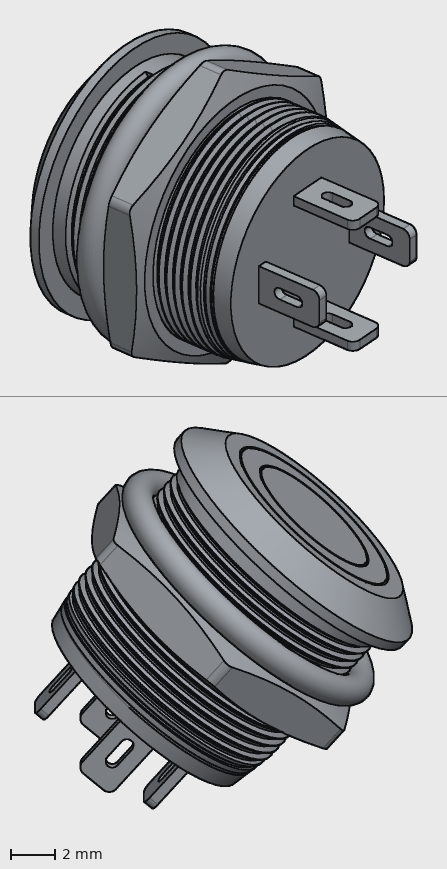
import cadquery as cq
import math


body_radius = 5.9
flange_radius = 6.9
front_face_radius = 5.3
cone_length = 1.2
flange_back = 1.7
body_end = 11.7
lead_in_angle = 10.0
lead_in_start = 9.55
body_end_radius = body_radius - (body_end - lead_in_start) * math.tan(math.radians(lead_in_angle))

ring_groove_outer_radii = (3.25, 4.45)
ring_groove_width = 0.1
ring_groove_depth = 0.1

flank_angle = 60.0
pitch = 0.45
thread_turns = 20
thread_start = 2.53
crest_flat = pitch / 8
root_flat = pitch / 4
flank_slope = math.tan(math.radians(flank_angle / 2))
thread_depth = (pitch - crest_flat - root_flat) / 2 / flank_slope
root_radius = body_radius - thread_depth
cutter_overrun = 0.03

tab_tip = 15.2
tab_width = 2.0
tab_thickness = 0.5
tab_offset = 3.25
tab_count = 4
tab_corner_radius = 0.4
tab_slot_length = 1.6
tab_slot_width = 0.6
tab_slot_center = 13.4

o_ring_section_radius = 0.7
o_ring_center = 4.55
o_ring_mean_radius = body_radius + o_ring_section_radius

nut_front = 5.3
nut_thickness = 2.2
nut_back = nut_front + nut_thickness
nut_sides = 6
nut_across_flats = 13.8
nut_corner_radius = 0.5
nut_face_radius = 6.5
nut_chamfer_angle = 20.0
nut_turn = 1.0

x_axis_start = (0, 0, 0)
x_axis_end = (1, 0, 0)


def revolve_about_x(points):
    """Spin an outline of (x, radius) points around the X axis."""
    return cq.Workplane("XY").polyline(points).close().revolve(360, x_axis_start, x_axis_end)


def make_body_blank():
    """Coned head, flange and barrel with a tapered lead-in at the back."""
    return revolve_about_x([
        (0, 0),
        (0, front_face_radius),
        (cone_length, flange_radius),
        (flange_back, flange_radius),
        (flange_back, body_radius),
        (lead_in_start, body_radius),
        (body_end, body_end_radius),
        (body_end, 0),
    ])


def make_ring_groove(outer_radius):
    """Narrow ring to be cut into the front face."""
    return (
        cq.Workplane("YZ")
        .circle(outer_radius)
        .circle(outer_radius - ring_groove_width)
        .extrude(ring_groove_depth)
    )


def make_thread_groove():
    """Right-handed helical groove, built up from single turns along Z and then laid along X from the top."""
    mouth_radius = body_radius + cutter_overrun
    half_root = root_flat / 2
    half_mouth = half_root + (mouth_radius - root_radius) * flank_slope
    section = [
        (root_radius, -half_root),
        (mouth_radius, -half_mouth),
        (mouth_radius, half_mouth),
        (root_radius, half_root),
    ]
    edges = [cq.Wire.makeHelix(pitch, pitch, radius, cq.Vector(0, 0, z)) for radius, z in section]
    one_turn = [
        cq.Face.makeRuledSurface(edge, next_edge)
        for edge, next_edge in zip(edges, edges[1:] + edges[:1])
    ]
    start_outline = cq.Wire.makePolygon([cq.Vector(radius, 0, z) for radius, z in section], close=True)
    start_face = cq.Face.makeFromWires(start_outline)
    end_face = start_face.translate(cq.Vector(0, 0, pitch * thread_turns))

    faces = [start_face, end_face]
    for turn in range(thread_turns):
        advance = cq.Vector(0, 0, pitch * turn)
        faces += [face.translate(advance) for face in one_turn]
    groove = cq.Solid.makeSolid(cq.Shell.makeShell(faces)).fix()
    return (
        cq.Workplane(groove)
        .rotate((0, 0, 0), (0, 1, 0), 90)
        .rotate(x_axis_start, x_axis_end, 180)
        .translate((thread_start, 0, 0))
    )


def make_tab():
    """Slotted solder tab above the axis, lying flat, with rounded tip corners."""
    tab_length = tab_tip - body_end
    return (
        cq.Workplane("XY")
        .box(tab_length, tab_width, tab_thickness, centered=(False, True, True))
        .edges("|Z and >X")
        .fillet(tab_corner_radius)
        .faces(">Z")
        .workplane(origin=(tab_slot_center - body_end, 0, 0))
        .slot2D(tab_slot_length, tab_slot_width)
        .cutThruAll()
        .translate((body_end, 0, tab_offset))
    )


def make_switch():
    """Threaded switch body with its front grooves and solder tabs."""
    switch = make_body_blank()
    for outer_radius in ring_groove_outer_radii:
        switch = switch.cut(make_ring_groove(outer_radius))
    for index in range(tab_count):
        angle = index * 360 / tab_count
        switch = switch.union(make_tab().rotate(x_axis_start, x_axis_end, angle))
    return switch.cut(make_thread_groove())


def make_o_ring():
    """Round-section ring behind the head."""
    return (
        cq.Workplane("XY")
        .center(o_ring_center, o_ring_mean_radius)
        .circle(o_ring_section_radius)
        .revolve(360, (0, -o_ring_mean_radius, 0), (1, -o_ring_mean_radius, 0))
    )


def make_nut():
    """Hex nut with rounded corners, a cone chamfer on both faces and a bore at the thread crests."""
    corner_diameter = nut_across_flats / math.cos(math.pi / nut_sides)
    chamfer_outer_radius = corner_diameter / 2
    chamfer_length = (chamfer_outer_radius - nut_face_radius) * math.tan(math.radians(nut_chamfer_angle))
    hexagon = (
        cq.Workplane("YZ", origin=(nut_front, 0, 0))
        .transformed(rotate=(0, 0, 90))
        .polygon(nut_sides, corner_diameter)
        .extrude(nut_thickness)
        .edges("|X")
        .fillet(nut_corner_radius)
    )
    chamfer_envelope = revolve_about_x([
        (nut_front, 0),
        (nut_front, nut_face_radius),
        (nut_front + chamfer_length, chamfer_outer_radius),
        (nut_back - chamfer_length, chamfer_outer_radius),
        (nut_back, nut_face_radius),
        (nut_back, 0),
    ])
    bore = cq.Workplane("YZ", origin=(nut_front, 0, 0)).circle(body_radius).extrude(nut_thickness)
    nut = hexagon.intersect(chamfer_envelope).cut(bore)
    return nut.rotate(x_axis_start, x_axis_end, nut_turn)


switch = make_switch()
o_ring = make_o_ring()
nut = make_nut()

result = cq.Compound.makeCompound([body.solids().val() for body in (switch, o_ring, nut)])